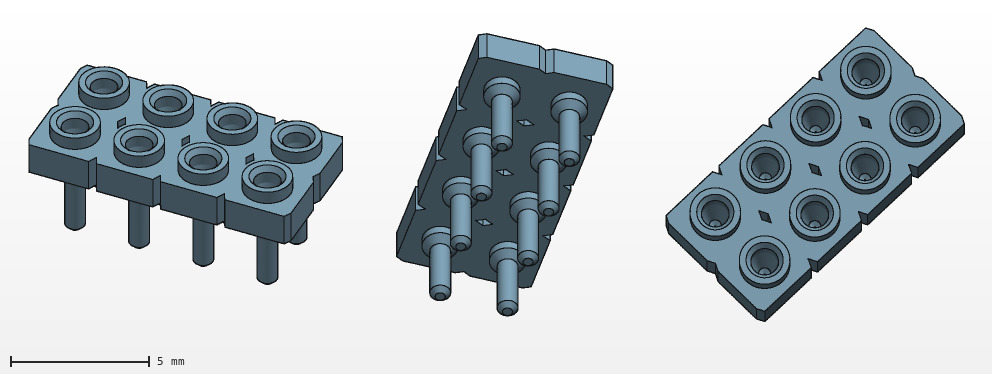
import cadquery as cq

COLUMNS = 4
ROWS = 2
PITCH = 2.54

HOUSING_LENGTH = 10.39
HOUSING_WIDTH = ROWS * PITCH
HOUSING_HEIGHT = 1.27
DIAMOND_HALF_X = 0.16
DIAMOND_HALF_Y = 0.32
END_DIAMOND_HALF_X = 0.15
END_DIAMOND_HALF_Y = 0.28

PIN_LENGTH = 4.83
HEAD_RADIUS = 1.83 / 2
HEAD_HEIGHT = 0.52
BODY_RADIUS = 1.32 / 2
BODY_BELOW_HOUSING = 0.34
LEG_RADIUS = 0.76 / 2
TIP_CHAMFER = 0.2

MOUTH_RADIUS = 1.34 / 2
FUNNEL_DEPTH = 0.21
BORE_RADIUS = 1.0 / 2
BORE_DEPTH = 0.69
THROAT_RADIUS = 0.44 / 2
THROAT_DEPTH = 1.66
FLOOR_RADIUS = 0.05 / 2
FLOOR_DEPTH = 1.79

HEAD_TOP = HOUSING_HEIGHT + HEAD_HEIGHT
PIN_BOTTOM = HEAD_TOP - PIN_LENGTH
SHOULDER_TOP = -BODY_BELOW_HOUSING
SHOULDER_BOTTOM = SHOULDER_TOP - (BODY_RADIUS - LEG_RADIUS)

PIN_PLACES = [
    ((column - (COLUMNS - 1) / 2) * PITCH, (row - (ROWS - 1) / 2) * PITCH)
    for column in range(COLUMNS)
    for row in range(ROWS)
]


def diamond_cutter(x, y, half_x, half_y):
    """Diamond prism through the full height of the housing."""
    points = [(x - half_x, y), (x, y - half_y), (x + half_x, y), (x, y + half_y)]
    return cq.Workplane("XY").polyline(points).close().extrude(HOUSING_HEIGHT)


def make_housing():
    """Block with diamonds cut along every row border and a through hole for each pin."""
    block = cq.Workplane("XY").box(
        HOUSING_LENGTH, HOUSING_WIDTH, HOUSING_HEIGHT, centered=(True, True, False)
    )
    column_borders = [(column - COLUMNS / 2) * PITCH for column in range(1, COLUMNS)]
    row_borders = [(row - ROWS / 2) * PITCH for row in range(ROWS + 1)]
    for y in row_borders:
        for x in column_borders:
            block = block.cut(diamond_cutter(x, y, DIAMOND_HALF_X, DIAMOND_HALF_Y))
        for x in (-HOUSING_LENGTH / 2, HOUSING_LENGTH / 2):
            block = block.cut(diamond_cutter(x, y, END_DIAMOND_HALF_X, END_DIAMOND_HALF_Y))
    pin_holes = cq.Workplane("XY").pushPoints(PIN_PLACES).circle(BODY_RADIUS).extrude(HOUSING_HEIGHT)
    return block.cut(pin_holes)


def make_pin(x, y):
    """Turned pin with a stepped socket, its head resting on top of the housing."""
    outside = [
        (0, PIN_BOTTOM),
        (LEG_RADIUS - TIP_CHAMFER, PIN_BOTTOM),
        (LEG_RADIUS, PIN_BOTTOM + TIP_CHAMFER),
        (LEG_RADIUS, SHOULDER_BOTTOM),
        (BODY_RADIUS, SHOULDER_TOP),
        (BODY_RADIUS, HOUSING_HEIGHT),
        (HEAD_RADIUS, HOUSING_HEIGHT),
        (HEAD_RADIUS, HEAD_TOP),
    ]
    socket = [
        (MOUTH_RADIUS, HEAD_TOP),
        (BORE_RADIUS, HEAD_TOP - FUNNEL_DEPTH),
        (BORE_RADIUS, HEAD_TOP - BORE_DEPTH),
        (THROAT_RADIUS, HEAD_TOP - THROAT_DEPTH),
        (FLOOR_RADIUS, HEAD_TOP - FLOOR_DEPTH),
        (0, HEAD_TOP - FLOOR_DEPTH),
    ]
    half_section = cq.Workplane("XZ").polyline(outside + socket).close()
    return half_section.revolve(360, (0, 0, 0), (0, 1, 0)).translate((x, y, 0))


housing = make_housing()
pins = [make_pin(x, y) for x, y in PIN_PLACES]

result = cq.Compound.makeCompound([housing.val(), *[pin.val() for pin in pins]])